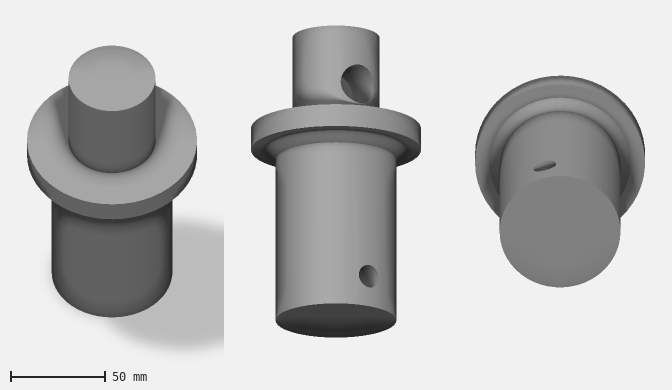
import cadquery as cq

total_height = 156.0
body_height = 88.9
flange_bottom = 94.0
flange_top = 106.1

body_diameter = 64.0
cone_top_diameter = 74.9
flange_diameter = 90.0
pin_diameter = 46.0

pin_hole_diameter = 21.0
pin_hole_z = 125.0
pin_hole_depth = pin_diameter / 2
body_hole_diameter = 12.3
body_hole_z = 16.5
body_hole_depth = body_diameter / 2


def turned_blank():
    """Body, conical shoulder, flange and pin as one revolved half-section."""
    profile = [
        (0, 0),
        (body_diameter / 2, 0),
        (body_diameter / 2, body_height),
        (cone_top_diameter / 2, flange_bottom),
        (flange_diameter / 2, flange_bottom),
        (flange_diameter / 2, flange_top),
        (pin_diameter / 2, flange_top),
        (pin_diameter / 2, total_height),
        (0, total_height),
    ]
    return cq.Workplane("XZ").polyline(profile).close().revolve(360, (0, 0), (0, 1))


def radial_hole(diameter, z, outer_diameter, depth):
    """Cutter entering from the +Y side of a cylinder, to a flat bottom."""
    start = cq.Vector(0, outer_diameter / 2, z)
    return cq.Workplane(cq.Solid.makeCylinder(diameter / 2, depth, start, cq.Vector(0, -1, 0)))


result = (
    turned_blank()
    .cut(radial_hole(pin_hole_diameter, pin_hole_z, pin_diameter, pin_hole_depth))
    .cut(radial_hole(body_hole_diameter, body_hole_z, body_diameter, body_hole_depth))
)